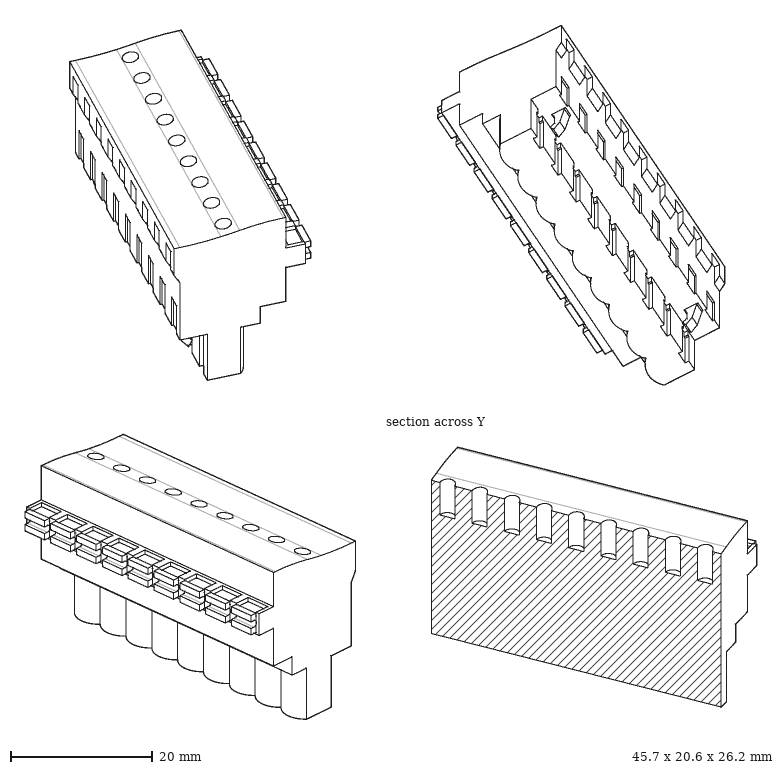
import cadquery as cq
import math


POLES = 9
PITCH = 5.08
LENGTH = POLES * PITCH
POLE_X = [(i - (POLES - 1) / 2) * PITCH for i in range(POLES)]

BODY_BOTTOM_Z = 8.25
REAR_STEP_Z = 11.2
TOP_Z = 26.24
CHAMFER_BOTTOM_Z = 18.5
CHAMFER_TOP_Z = 20.0

FRONT_INSET = 0.85
REAR_STEP_Y = 12.9
BODY_BACK_Y = 16.7

CREST_Y = 16.35
STRIP_BACK_Y = 9.8
STRIP_FRONT_Y = 7.0
STRIP_BACK_SLOPE = math.radians(10.4)
STRIP_FRONT_SLOPE = math.radians(7.4)

SHELF_BOTTOM_Z = 17.25
SHELF_TOP_Z = 20.75
SHELF_BACK_Y = 19.65

PLUG_FRONT_Y = 4.95
PLUG_BACK_Y = 9.95
RIB_HEIGHT = 1.1
RIB_WIDTH = PITCH

GROOVE_WIDTH = 1.82
GROOVE_NECK_WIDTH = 1.3
GROOVE_DEPTH = 0.6
GROOVE_NECK_Z = 7.0

UPPER_SLOT_WIDTH = 2.1
UPPER_SLOT_TOP_Z = 23.2
LOWER_SLOT_WIDTH = 2.06
LOWER_SLOT_TOP_Z = 13.3
LOWER_SLOT_DEPTH = 0.3

HOLE_DIAMETER = 2.3
HOLE_Y = 8.2
HOLE_FLOOR_Z = 20.0

LATCH_WIDTH = 1.45
LATCH_X = 18.5
LATCH_ROOT_FRONT_Y = 1.45
LATCH_ROOT_BACK_Y = 3.72
LATCH_HOOK_Z = 5.45

LATCH_ROOT_MID = (3.42, 7.65)
LATCH_ROOT_END = (3.25, 7.0)
LATCH_BARB = (3.95, 4.85)
LATCH_TIP = (3.4, 3.75)
LATCH_ELBOW = (2.38, 5.0)
LATCH_SHOULDER = (1.63, 8.0)

PUSHER_WIDTH = 3.86
PUSHER_FRONT_Y = 17.25
PUSHER_BACK_Y = 20.64
PUSHER_BOTTOM_Z = 17.5
PUSHER_HEAD_TOP_Z = 20.6
PUSHER_STEP_Z = 20.1
PUSHER_SLOT_HEIGHT = 1.05
PUSHER_SLOT_DEPTH = 1.1


def box(x_center, width, y_min, y_max, z_min, z_max):
    """Box centred on x_center and running between the given Y and Z limits."""
    size_y = y_max - y_min
    size_z = z_max - z_min
    corner = (x_center - width / 2, y_min, z_min)
    return cq.Workplane("XY").box(width, size_y, size_z, centered=False).translate(corner)


def extrude_profile(profile, x_center, width):
    """Extrude a closed YZ profile along X, centred on x_center."""
    return profile.extrude(width / 2, both=True).translate((x_center, 0, 0))


def arc_point(start, start_slope, end_y, end_slope):
    """Point at end_y on an arc that leaves start at start_slope and gets there at end_slope."""
    start_y, start_z = start
    chord_slope = (start_slope + end_slope) / 2
    return (end_y, start_z + (end_y - start_y) * math.tan(chord_slope))


def add_slope_arc(profile, start, start_slope, end_y, end_slope):
    """Draw an arc from start to end_y that turns between the two slopes; return its end too."""
    mid_slope = (start_slope + end_slope) / 2
    radius = (end_y - start[0]) / (math.sin(end_slope) - math.sin(start_slope))
    mid_y = start[0] + radius * (math.sin(mid_slope) - math.sin(start_slope))
    mid = arc_point(start, start_slope, mid_y, mid_slope)
    end = arc_point(start, start_slope, end_y, end_slope)
    return profile.threePointArc(mid, end), end


def make_body():
    """Main block with the wavy top, the chamfered front and the stepped rear."""
    crest = (CREST_Y, TOP_Z)
    profile = cq.Workplane("YZ").moveTo(BODY_BACK_Y, TOP_Z).lineTo(*crest)
    profile, strip_back = add_slope_arc(profile, crest, 0, STRIP_BACK_Y, STRIP_BACK_SLOPE)
    profile, strip_front = add_slope_arc(
        profile, strip_back, STRIP_BACK_SLOPE, STRIP_FRONT_Y, STRIP_FRONT_SLOPE
    )
    profile, trough = add_slope_arc(
        profile, strip_front, STRIP_FRONT_SLOPE, FRONT_INSET, 0
    )
    profile = (
        profile.lineTo(0, trough[1])
        .lineTo(0, CHAMFER_TOP_Z)
        .lineTo(FRONT_INSET, CHAMFER_BOTTOM_Z)
        .lineTo(FRONT_INSET, BODY_BOTTOM_Z)
        .lineTo(REAR_STEP_Y, BODY_BOTTOM_Z)
        .lineTo(REAR_STEP_Y, REAR_STEP_Z)
        .lineTo(BODY_BACK_Y, REAR_STEP_Z)
        .close()
    )
    return extrude_profile(profile, 0, LENGTH)


def make_plug_rib(x):
    """Rounded rib that bulges from the back of the plug at one pole."""
    return (
        cq.Workplane("XY")
        .moveTo(x - RIB_WIDTH / 2, PLUG_FRONT_Y)
        .lineTo(x - RIB_WIDTH / 2, PLUG_BACK_Y)
        .threePointArc((x, PLUG_BACK_Y + RIB_HEIGHT), (x + RIB_WIDTH / 2, PLUG_BACK_Y))
        .lineTo(x + RIB_WIDTH / 2, PLUG_FRONT_Y)
        .close()
        .extrude(BODY_BOTTOM_Z)
    )


def make_latch(x):
    """Hook that hangs from the underside of the body in front of the plug."""
    profile = (
        cq.Workplane("YZ")
        .moveTo(LATCH_ROOT_BACK_Y, BODY_BOTTOM_Z)
        .threePointArc(LATCH_ROOT_MID, LATCH_ROOT_END)
        .lineTo(LATCH_ROOT_END[0], LATCH_HOOK_Z)
        .lineTo(*LATCH_BARB)
        .lineTo(*LATCH_TIP)
        .lineTo(*LATCH_ELBOW)
        .lineTo(*LATCH_SHOULDER)
        .lineTo(LATCH_ROOT_FRONT_Y, BODY_BOTTOM_Z)
        .close()
    )
    return extrude_profile(profile, x, LATCH_WIDTH)


def cut_pole(housing, x):
    """Cut the slots, groove, hole and pusher pocket of one pole."""
    groove_floor_y = PLUG_FRONT_Y + GROOVE_DEPTH
    lower_slot_floor_y = FRONT_INSET + LOWER_SLOT_DEPTH
    hole = (
        cq.Workplane("XY", origin=(x, HOLE_Y, HOLE_FLOOR_Z))
        .circle(HOLE_DIAMETER / 2)
        .extrude(TOP_Z - HOLE_FLOOR_Z)
    )
    cutters = [
        box(x, UPPER_SLOT_WIDTH, 0, FRONT_INSET, CHAMFER_BOTTOM_Z, UPPER_SLOT_TOP_Z),
        box(x, LOWER_SLOT_WIDTH, FRONT_INSET, lower_slot_floor_y, BODY_BOTTOM_Z, LOWER_SLOT_TOP_Z),
        box(x, GROOVE_WIDTH, PLUG_FRONT_Y, groove_floor_y, 0, GROOVE_NECK_Z),
        box(x, GROOVE_NECK_WIDTH, PLUG_FRONT_Y, groove_floor_y, GROOVE_NECK_Z, BODY_BOTTOM_Z),
        box(x, PUSHER_WIDTH, PUSHER_FRONT_Y, SHELF_BACK_Y, PUSHER_BOTTOM_Z, SHELF_TOP_Z),
        hole,
    ]
    for cutter in cutters:
        housing = housing.cut(cutter)
    return housing


def make_housing():
    """Body, shelf, plug and latches as one solid, with the features of every pole."""
    housing = make_body()
    housing = housing.union(box(0, LENGTH, BODY_BACK_Y, SHELF_BACK_Y, SHELF_BOTTOM_Z, SHELF_TOP_Z))
    housing = housing.union(box(0, LENGTH, PLUG_FRONT_Y, PLUG_BACK_Y, 0, BODY_BOTTOM_Z))
    for x in POLE_X:
        housing = housing.union(make_plug_rib(x))
    for x in (-LATCH_X, LATCH_X):
        housing = housing.union(make_latch(x))
    for x in POLE_X:
        housing = cut_pole(housing, x)
    return housing


def make_pusher(x):
    """Stepped pusher whose head stands behind the shelf and has a round-bottomed slot."""
    profile = (
        cq.Workplane("YZ")
        .moveTo(PUSHER_FRONT_Y, PUSHER_BOTTOM_Z)
        .lineTo(PUSHER_BACK_Y, PUSHER_BOTTOM_Z)
        .lineTo(PUSHER_BACK_Y, PUSHER_HEAD_TOP_Z)
        .lineTo(SHELF_BACK_Y, PUSHER_HEAD_TOP_Z)
        .lineTo(SHELF_BACK_Y, PUSHER_STEP_Z)
        .lineTo(PUSHER_FRONT_Y, PUSHER_STEP_Z)
        .close()
    )
    slot_radius = PUSHER_SLOT_HEIGHT / 2
    slot_mid_z = (PUSHER_BOTTOM_Z + PUSHER_HEAD_TOP_Z) / 2
    slot_floor_y = PUSHER_BACK_Y - PUSHER_SLOT_DEPTH
    slot = (
        cq.Workplane("YZ")
        .moveTo(PUSHER_BACK_Y, slot_mid_z - slot_radius)
        .lineTo(slot_floor_y + slot_radius, slot_mid_z - slot_radius)
        .threePointArc((slot_floor_y, slot_mid_z), (slot_floor_y + slot_radius, slot_mid_z + slot_radius))
        .lineTo(PUSHER_BACK_Y, slot_mid_z + slot_radius)
        .close()
    )
    return extrude_profile(profile, x, PUSHER_WIDTH).cut(extrude_profile(slot, x, PUSHER_WIDTH))


housing = make_housing()
pushers = [make_pusher(x) for x in POLE_X]

result = cq.Compound.makeCompound([housing.val(), *[pusher.val() for pusher in pushers]])